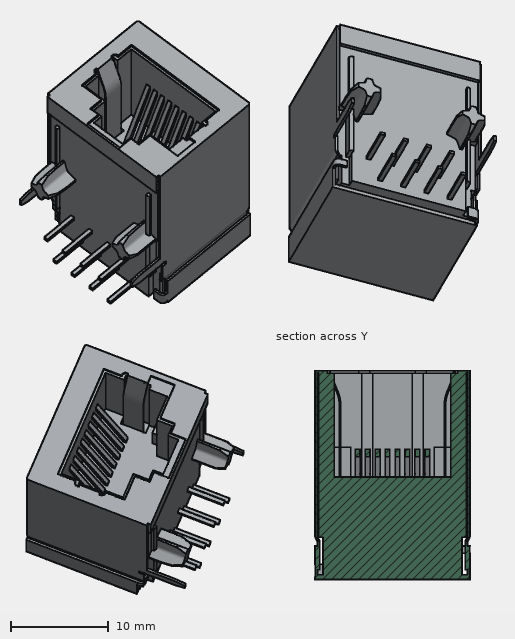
import cadquery as cq
import math


WIDTH = 15.88
HEIGHT = 21.34
BACK_Y = 13.31
LEG_TIP_Y = -4.20

SHEET = 0.26
HALF_WIDTH = WIDTH / 2
SHELL_INNER_X = HALF_WIDTH - SHEET
SHELL_CORNER = SHEET
JOGGLE_TOP_Z = 4.4
JOGGLE_BOTTOM_Z = 3.9
JOGGLE_BEND_RADIUS = 0.5
NARROW_PLATE_BOTTOM_Z = 1.0
NARROW_PLATE_FRONT_Y = 0.88
LOWER_EDGE_Y = 0.35
FLAP_FRONT_Y = -0.35
FLAP_HEIGHT = 2.6

LEG_TOP_Z = 8.1
LEG_BOTTOM_Z = 6.93
LEG_TAPER_Y = -3.2
LEG_TIP_INSET = 0.24
RELIEF_HEIGHT = 0.43
RELIEF_END_Y = 0.88

COVER_HEIGHT = 3.45
COVER_FLOOR = 0.5
COVER_WALL = 0.3
COVER_FRONT_Y = 1.1
TAB_RADIUS = 0.53
TAB_END_X = 6.64
LEFT_TAB_Z = (2.67, COVER_HEIGHT)
RIGHT_TAB_Z = (0.25, 1.57)

HOUSING_HALF_WIDTH = 7.58
HOUSING_TOP_Z = HEIGHT - SHEET
HOUSING_FOOT_HALF_WIDTH = 7.12
CENTRE_HALF_WIDTH = 6.26
RECESS_DEPTH = 0.72
RAIL_WIDTH = 0.4
RAIL_HEIGHT = 0.43
RAIL_CROWN = 0.19
RAIL_BOTTOM_Z = 4.3
RAIL_TOP_Z = 17.3
RAIL_OUTER_X = CENTRE_HALF_WIDTH + RAIL_WIDTH

CAVITY_FLOOR_Z = 10.5
CAVITY_HALF_WIDTH = 5.94
CAVITY_BACK_Y = 10.25
CAVITY_FRONT_Y = 3.44
KEY_HALF_WIDTH = 3.16
KEY_FRONT_Y = 1.73
LATCH_HALF_WIDTH = 2.03
LATCH_FRONT_Y = 0.60
STOP_WIDTH = 1.67
STOP_DEPTH = 0.96
STOP_HEIGHT = 3.0

OPENING_HALF_WIDTH = 6.2
OPENING_BACK_Y = 10.54
OPENING_FRONT_Y = 3.18
OPENING_KEY_HALF_WIDTH = 3.43
OPENING_KEY_FRONT_Y = 1.55
OPENING_LATCH_HALF_WIDTH = 2.3
OPENING_LATCH_FRONT_Y = -0.1
SIDE_NOTCH_X = 7.33

SPRING_ROOT_X = 6.45
SPRING_FRONT_Y = 5.80
SPRING_BACK_Y = 8.04
SPRING_BEND_X = 5.55
SPRING_BEND_Z = 19.15
SPRING_END_X = 5.28
SPRING_SHEET = 0.15
SPRING_RELIEF_X = 6.65
SPRING_RELIEF_LENGTH = 0.52
SPRING_RELIEF_CHAMFER = 0.22
SLOT_FRONT_Y = 5.44
SLOT_BACK_Y = 8.20
SLOT_INNER_X = 5.04
SLOT_EXTRA_DEPTH = 1.0
SLOT_FLOOR_Z = CAVITY_FLOOR_Z - SLOT_EXTRA_DEPTH

CONTACT_COUNT = 8
CONTACT_PITCH = 1.016
CONTACT_WIDTH = 0.5
CONTACT_THICKNESS = 0.3
CONTACT_TOP_Z = 17.25
CONTACT_FRONT_Y = 6.9
PIN_PITCH = 2.54
PINS_PER_ROW = 4
PIN_WIDTH = 0.48
PIN_THICKNESS = 0.32
PIN_TIP_Y = -3.98
LOWER_ROW_Z = 1.69
UPPER_ROW_Z = LOWER_ROW_Z + PIN_PITCH
ROW_SHIFT = PIN_PITCH / 4

STUD_X = 5.72
STUD_Z = 10.57
STUD_REACH = 1.70
RIGHT_STUD_SIDE_REACH = 1.55
STUD_TIP_HALF = 0.12
STUD_FLANK_NEAR = 0.43
STUD_FLANK_MID = 0.54
STUD_FLANK_FAR = 0.72
STUD_SHOULDER_Y = -1.25
STUD_TAPER_Y = -2.5
STUD_END_Y = -3.54
STUD_TAPER_RADIUS = 1.62
STUD_END_RADIUS = 1.22


def box(x_range, y_range, z_range):
    """Axis-aligned block between pairs of limits."""
    x0, x1 = sorted(x_range)
    y0, y1 = sorted(y_range)
    z0, z1 = sorted(z_range)
    return cq.Workplane("XY").box(x1 - x0, y1 - y0, z1 - z0, centered=False).translate((x0, y0, z0))


def prism_z(points, z0, z1):
    """Outline in X, Y raised from z0 to z1."""
    return cq.Workplane("XY").workplane(offset=z0).polyline(points).close().extrude(z1 - z0)


def prism_y(points, y0, y1):
    """Outline in X, Z carried from y0 up to y1."""
    return cq.Workplane("XZ", origin=(0, y0, 0)).polyline(points).close().extrude(y0 - y1)


def prism_x(points, x0, x1):
    """Outline in Y, Z carried from x0 to x1."""
    return cq.Workplane("YZ", origin=(x0, 0, 0)).polyline(points).close().extrude(x1 - x0)


def mirrored(solid):
    """The solid together with its mirror image across X = 0."""
    return solid.union(solid.mirror("YZ"))


def keyed_outline(back_y, steps):
    """Symmetric opening outline; steps are (half width, front Y), widest first."""
    right = [(steps[0][0], back_y)]
    for index, (half_width, front_y) in enumerate(steps):
        right.append((half_width, front_y))
        if index + 1 < len(steps):
            right.append((steps[index + 1][0], front_y))
    left = [(-x, y) for x, y in reversed(right)]
    return right + left


def make_rail():
    """Right-hand standoff rail, its crown falling off in an arc toward the outside."""
    crown_radius = (RAIL_WIDTH**2 + RAIL_CROWN**2) / (2 * RAIL_CROWN)
    half_angle = math.asin(RAIL_WIDTH / crown_radius) / 2
    arc_middle = (
        CENTRE_HALF_WIDTH + crown_radius * math.sin(half_angle),
        -RAIL_HEIGHT + crown_radius * (1 - math.cos(half_angle)),
    )
    section = (
        cq.Workplane("XY")
        .workplane(offset=RAIL_BOTTOM_Z)
        .moveTo(CENTRE_HALF_WIDTH, 0)
        .lineTo(CENTRE_HALF_WIDTH, -RAIL_HEIGHT)
        .threePointArc(arc_middle, (RAIL_OUTER_X, RAIL_CROWN - RAIL_HEIGHT))
        .lineTo(RAIL_OUTER_X, 0)
        .close()
    )
    return section.extrude(RAIL_TOP_Z - RAIL_BOTTOM_Z)


def make_housing():
    """Housing block with recessed front corners, narrowed foot and standoff rails."""
    back = BACK_Y - SHEET
    body = box((-HOUSING_HALF_WIDTH, HOUSING_HALF_WIDTH), (0, back), (COVER_FLOOR, HOUSING_TOP_Z))
    foot_side = box((HOUSING_FOOT_HALF_WIDTH, HALF_WIDTH), (0, back), (COVER_FLOOR, RAIL_BOTTOM_Z))
    recess = box((RAIL_OUTER_X, HALF_WIDTH), (0, RECESS_DEPTH), (COVER_FLOOR, STUD_Z))
    foot_recess = box((CENTRE_HALF_WIDTH, HALF_WIDTH), (0, RECESS_DEPTH), (COVER_FLOOR, RAIL_BOTTOM_Z))
    body = body.cut(mirrored(foot_side.union(recess).union(foot_recess)))
    return body.union(mirrored(make_rail()))


def cut_cavity(housing):
    """Housing with the plug cavity, the spring slots and the two plug stops."""
    outline = keyed_outline(
        CAVITY_BACK_Y,
        [
            (CAVITY_HALF_WIDTH, CAVITY_FRONT_Y),
            (KEY_HALF_WIDTH, KEY_FRONT_Y),
            (LATCH_HALF_WIDTH, LATCH_FRONT_Y),
        ],
    )
    slot = box((SLOT_INNER_X, SPRING_ROOT_X), (SLOT_FRONT_Y, SLOT_BACK_Y), (SLOT_FLOOR_Z, HOUSING_TOP_Z))
    stop = box(
        (CAVITY_HALF_WIDTH - STOP_WIDTH, CAVITY_HALF_WIDTH),
        (CAVITY_FRONT_Y, CAVITY_FRONT_Y + STOP_DEPTH),
        (CAVITY_FLOOR_Z, CAVITY_FLOOR_Z + STOP_HEIGHT),
    )
    housing = housing.cut(prism_z(outline, CAVITY_FLOOR_Z, HOUSING_TOP_Z))
    return housing.cut(mirrored(slot)).union(mirrored(stop))


def make_top_opening():
    """Cutter for the opening in the top sheet with its spring reliefs and side notch."""
    outline = keyed_outline(
        OPENING_BACK_Y,
        [
            (OPENING_HALF_WIDTH, OPENING_FRONT_Y),
            (OPENING_KEY_HALF_WIDTH, OPENING_KEY_FRONT_Y),
            (OPENING_LATCH_HALF_WIDTH, OPENING_LATCH_FRONT_Y),
        ],
    )
    relief_front = SPRING_FRONT_Y - SPRING_RELIEF_LENGTH
    relief_back = SPRING_BACK_Y + SPRING_RELIEF_LENGTH
    chamfer_x = SPRING_RELIEF_X - SPRING_RELIEF_CHAMFER
    spring_notch = [
        (0, relief_front),
        (chamfer_x, relief_front),
        (SPRING_RELIEF_X, relief_front + SPRING_RELIEF_CHAMFER),
        (SPRING_RELIEF_X, SPRING_FRONT_Y),
        (SPRING_ROOT_X, SPRING_FRONT_Y),
        (SPRING_ROOT_X, SPRING_BACK_Y),
        (SPRING_RELIEF_X, SPRING_BACK_Y),
        (SPRING_RELIEF_X, relief_back - SPRING_RELIEF_CHAMFER),
        (chamfer_x, relief_back),
        (0, relief_back),
    ]
    side_notch = box((0, SIDE_NOTCH_X), (OPENING_FRONT_Y, SPRING_FRONT_Y), (HOUSING_TOP_Z, HEIGHT))
    opening = prism_z(outline, HOUSING_TOP_Z, HEIGHT)
    return opening.union(mirrored(prism_z(spring_notch, HOUSING_TOP_Z, HEIGHT))).union(side_notch)


def make_side_sheet():
    """Right-hand side of the shell, stepped inward above the rear cover."""
    section = [
        (HALF_WIDTH, HEIGHT),
        (HALF_WIDTH, JOGGLE_TOP_Z),
        (SHELL_INNER_X, JOGGLE_BOTTOM_Z),
        (SHELL_INNER_X, NARROW_PLATE_BOTTOM_Z),
        (SHELL_INNER_X - SHEET, NARROW_PLATE_BOTTOM_Z),
        (SHELL_INNER_X - SHEET, JOGGLE_BOTTOM_Z),
        (SHELL_INNER_X, JOGGLE_TOP_Z),
        (SHELL_INNER_X, HEIGHT),
    ]
    sheet = prism_y(section, 0, BACK_Y)
    bends = cq.selectors.BoxSelector(
        (0, 0, JOGGLE_BOTTOM_Z - SHEET),
        (WIDTH, BACK_Y, JOGGLE_TOP_Z + SHEET),
    )
    sheet = sheet.edges("|Y").edges(bends).fillet(JOGGLE_BEND_RADIUS)
    beside_back = box((0, WIDTH), (BACK_Y - SHELL_CORNER, BACK_Y), (0, JOGGLE_TOP_Z + SHEET / 2))
    beside_joggle = box((0, WIDTH), (0, LOWER_EDGE_Y), (0, LEG_BOTTOM_Z))
    beside_plate = box((0, WIDTH), (0, NARROW_PLATE_FRONT_Y), (0, JOGGLE_BOTTOM_Z))
    relief_radius = RELIEF_HEIGHT / 2
    relief_y = RELIEF_END_Y - relief_radius
    relief_z = LEG_BOTTOM_Z - relief_radius
    relief = box((0, WIDTH), (0, relief_y), (LEG_BOTTOM_Z - RELIEF_HEIGHT, LEG_BOTTOM_Z))
    relief_end = cq.Workplane("YZ").center(relief_y, relief_z).circle(relief_radius).extrude(WIDTH)
    sheet = sheet.cut(beside_back).cut(beside_joggle).cut(beside_plate).cut(relief).cut(relief_end)

    leg_outline = [
        (0, LEG_TOP_Z),
        (LEG_TAPER_Y, LEG_TOP_Z),
        (LEG_TIP_Y, LEG_TOP_Z - LEG_TIP_INSET),
        (LEG_TIP_Y, LEG_BOTTOM_Z + LEG_TIP_INSET),
        (LEG_TAPER_Y, LEG_BOTTOM_Z),
        (0, LEG_BOTTOM_Z),
    ]
    return sheet.union(prism_x(leg_outline, SHELL_INNER_X, HALF_WIDTH))


def make_spring():
    """Right-hand grounding spring, slanting into the cavity and then running upright to the slot floor."""
    slant = math.atan2(SPRING_ROOT_X - SPRING_BEND_X, HEIGHT - SPRING_BEND_Z)
    bend_radius = (SPRING_BEND_X - SPRING_END_X) / (1 - math.cos(slant))
    upright_z = SPRING_BEND_Z - bend_radius * math.sin(slant)
    middle_x = SPRING_END_X + bend_radius * (1 - math.cos(slant / 2))
    middle_z = upright_z + bend_radius * math.sin(slant / 2)
    profile = (
        cq.Workplane("XZ", origin=(0, SPRING_BACK_Y, 0))
        .moveTo(SPRING_ROOT_X + SPRING_SHEET, HEIGHT)
        .lineTo(SPRING_ROOT_X, HEIGHT)
        .lineTo(SPRING_BEND_X, SPRING_BEND_Z)
        .threePointArc((middle_x, middle_z), (SPRING_END_X, upright_z))
        .lineTo(SPRING_END_X, SLOT_FLOOR_Z)
        .lineTo(SPRING_END_X + SPRING_SHEET, SLOT_FLOOR_Z)
        .lineTo(SPRING_END_X + SPRING_SHEET, upright_z)
        .threePointArc((middle_x + SPRING_SHEET, middle_z), (SPRING_BEND_X + SPRING_SHEET, SPRING_BEND_Z))
        .close()
    )
    return profile.extrude(SPRING_BACK_Y - SPRING_FRONT_Y)


def make_shell():
    """Folded shell: top, back, front flap, sides with board legs, and springs."""
    flap_half_width = HALF_WIDTH - SHELL_CORNER
    top = box((-HALF_WIDTH, HALF_WIDTH), (0, BACK_Y), (HOUSING_TOP_Z, HEIGHT))
    back = box((-SHELL_INNER_X, SHELL_INNER_X), (BACK_Y - SHEET, BACK_Y), (COVER_HEIGHT, HEIGHT))
    flap = box((-flap_half_width, flap_half_width), (FLAP_FRONT_Y, 0), (HEIGHT - FLAP_HEIGHT, HEIGHT))
    envelope = box((-HALF_WIDTH, HALF_WIDTH), (LEG_TIP_Y, BACK_Y), (0, HEIGHT))
    envelope = envelope.edges("|Z and >Y").fillet(SHELL_CORNER)
    shell = top.union(back).union(flap).union(mirrored(make_side_sheet()))
    shell = shell.intersect(envelope)
    return shell.cut(make_top_opening()).union(mirrored(make_spring()))


def make_cover_tab(z_range):
    """Right-hand tab that wraps from the cover side around onto the front."""
    inner_radius = TAB_RADIUS - SHEET
    corner_x = HALF_WIDTH - TAB_RADIUS
    corner_y = LOWER_EDGE_Y + TAB_RADIUS
    diagonal = math.sqrt(0.5)
    outline = (
        cq.Workplane("XY")
        .workplane(offset=z_range[0])
        .moveTo(HALF_WIDTH, COVER_FRONT_Y)
        .lineTo(HALF_WIDTH, corner_y)
        .threePointArc(
            (corner_x + TAB_RADIUS * diagonal, corner_y - TAB_RADIUS * diagonal),
            (corner_x, LOWER_EDGE_Y),
        )
        .lineTo(TAB_END_X, LOWER_EDGE_Y)
        .lineTo(TAB_END_X, LOWER_EDGE_Y + SHEET)
        .lineTo(corner_x, LOWER_EDGE_Y + SHEET)
        .threePointArc(
            (corner_x + inner_radius * diagonal, corner_y - inner_radius * diagonal),
            (SHELL_INNER_X, corner_y),
        )
        .lineTo(SHELL_INNER_X, COVER_FRONT_Y)
        .close()
    )
    return outline.extrude(z_range[1] - z_range[0])


def make_cover():
    """Open-fronted tray around the foot, held by one wrapped tab on each side."""
    depth = (COVER_FRONT_Y, BACK_Y)
    floor = box((-HALF_WIDTH, HALF_WIDTH), depth, (0, COVER_FLOOR))
    back = box((-HALF_WIDTH, HALF_WIDTH), (BACK_Y - SHEET, BACK_Y), (0, COVER_HEIGHT))
    side = box((HALF_WIDTH - COVER_WALL, HALF_WIDTH), depth, (0, COVER_HEIGHT))
    right_tab = make_cover_tab(RIGHT_TAB_Z)
    left_tab = make_cover_tab(LEFT_TAB_Z).mirror("YZ")
    return floor.union(back).union(mirrored(side)).union(right_tab).union(left_tab)


def make_stud(centre_x, side_reach):
    """Four-armed star with concave flanks, tapered toward its free end."""
    star = cq.Workplane("XZ", origin=(centre_x, 0, STUD_Z)).moveTo(side_reach, STUD_TIP_HALF)
    for x_sign, z_sign in ((1, 1), (-1, 1), (-1, -1), (1, -1)):
        side_tip = (x_sign * side_reach, z_sign * STUD_TIP_HALF)
        side_flank = (x_sign * STUD_FLANK_FAR, z_sign * STUD_FLANK_NEAR)
        waist = (x_sign * STUD_FLANK_MID, z_sign * STUD_FLANK_MID)
        upright_flank = (x_sign * STUD_FLANK_NEAR, z_sign * STUD_FLANK_FAR)
        upright_tip = (x_sign * STUD_TIP_HALF, z_sign * STUD_REACH)
        if x_sign == z_sign:
            if x_sign < 0:
                star = star.lineTo(*side_tip)
            star = star.lineTo(*side_flank).threePointArc(waist, upright_flank).lineTo(*upright_tip)
        else:
            star = star.lineTo(*upright_tip).lineTo(*upright_flank)
            star = star.threePointArc(waist, side_flank).lineTo(*side_tip)
    star = star.close().extrude(-STUD_END_Y)
    root_radius = math.hypot(STUD_REACH, STUD_TIP_HALF)
    envelope = (
        cq.Workplane("XY", origin=(centre_x, 0, STUD_Z))
        .polyline(
            [
                (0, 0),
                (root_radius, 0),
                (root_radius, STUD_SHOULDER_Y),
                (STUD_TAPER_RADIUS, STUD_TAPER_Y),
                (STUD_END_RADIUS, STUD_END_Y),
                (0, STUD_END_Y),
            ]
        )
        .close()
        .revolve(360, (0, 0, 0), (0, 1, 0))
    )
    return star.intersect(envelope)


def add_contacts(body):
    """Spring contacts slanting from the cavity back wall down to its floor."""
    section = [
        (CAVITY_BACK_Y, CONTACT_TOP_Z),
        (CONTACT_FRONT_Y, CAVITY_FLOOR_Z + CONTACT_THICKNESS),
        (CONTACT_FRONT_Y, CAVITY_FLOOR_Z),
        (CONTACT_FRONT_Y + CONTACT_THICKNESS, CAVITY_FLOOR_Z),
        (CAVITY_BACK_Y, CONTACT_TOP_Z - 2 * CONTACT_THICKNESS),
    ]
    for index in range(CONTACT_COUNT):
        centre = (index - (CONTACT_COUNT - 1) / 2) * CONTACT_PITCH
        body = body.union(prism_x(section, centre - CONTACT_WIDTH / 2, centre + CONTACT_WIDTH / 2))
    return body


def add_pins(body):
    """Two staggered rows of solder pins on the front face."""
    for row_z, shift in ((UPPER_ROW_Z, -ROW_SHIFT), (LOWER_ROW_Z, ROW_SHIFT)):
        for index in range(PINS_PER_ROW):
            x = (index - (PINS_PER_ROW - 1) / 2) * PIN_PITCH + shift
            pin = box(
                (x - PIN_WIDTH / 2, x + PIN_WIDTH / 2),
                (PIN_TIP_Y, 0),
                (row_z - PIN_THICKNESS / 2, row_z + PIN_THICKNESS / 2),
            )
            body = body.union(pin)
    return body


body = cut_cavity(make_housing())
body = body.union(make_shell()).union(make_cover())
body = body.union(make_stud(-STUD_X, STUD_REACH)).union(make_stud(STUD_X, RIGHT_STUD_SIDE_REACH))
body = add_contacts(body)
result = add_pins(body)